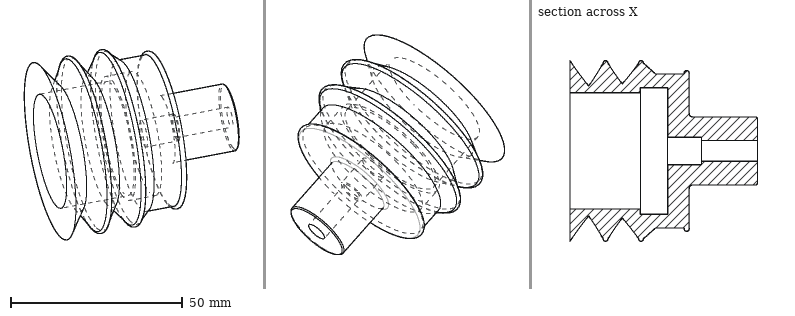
import cadquery as cq
import math


total_length = 54.85
rim_back = 34.9
rim_height = 1.55
body_front = 25.0
first_valley = 5.5
second_valley = 15.3
front_fold = 10.4
rear_fold = 20.8

outer_radius = 26.45
stem_radius = 10.0
body_radius = 45.15 / 2
rim_radius = 23.55
first_valley_radius = 19.05
second_valley_radius = 19.65
bore_radius = 33.95 / 2
undercut_radius = 37.0 / 2
entry_radius = 8.0 / 2
passage_radius = 6.0 / 2

fold_rounding = 0.7
stem_chamfer = 0.4
stem_fillet = 1.0
diagonal = math.sqrt(0.5)

bore_depth = 20.6
undercut_depth = 28.55
entry_depth = 38.4


def rounded_fold(profile, centre, half_width):
    """Continue the profile to a fold and round over its crest."""
    root_radius = outer_radius - fold_rounding
    return profile.lineTo(root_radius, centre - half_width).threePointArc(
        (outer_radius, centre), (root_radius, centre + half_width)
    )


def make_outside():
    fillet_mid = stem_fillet * (1 - diagonal)
    profile = cq.Workplane("XY").lineTo(outer_radius, 0)
    profile = profile.lineTo(first_valley_radius, first_valley)
    profile = rounded_fold(profile, front_fold, fold_rounding)
    profile = profile.lineTo(second_valley_radius, second_valley)
    profile = rounded_fold(profile, rear_fold, fold_rounding)
    profile = (
        profile.lineTo(body_radius, body_front)
        .lineTo(body_radius, rim_back - rim_height)
        .lineTo(rim_radius - rim_height / 2, rim_back - rim_height)
        .threePointArc(
            (rim_radius, rim_back - rim_height / 2), (rim_radius - rim_height / 2, rim_back)
        )
        .lineTo(stem_radius + stem_fillet, rim_back)
        .threePointArc(
            (stem_radius + fillet_mid, rim_back + fillet_mid),
            (stem_radius, rim_back + stem_fillet),
        )
        .lineTo(stem_radius, total_length - stem_chamfer)
        .lineTo(stem_radius - stem_chamfer, total_length)
        .lineTo(0, total_length)
        .close()
    )
    return profile.revolve(360, (0, 0), (0, 1))


def make_cavity():
    return (
        cq.Workplane("XY")
        .lineTo(bore_radius, 0)
        .lineTo(bore_radius, bore_depth)
        .lineTo(undercut_radius, bore_depth)
        .lineTo(undercut_radius, undercut_depth)
        .lineTo(entry_radius, undercut_depth)
        .lineTo(entry_radius, entry_depth)
        .lineTo(passage_radius, entry_depth)
        .lineTo(passage_radius, total_length)
        .lineTo(0, total_length)
        .close()
        .revolve(360, (0, 0), (0, 1))
    )


result = make_outside().cut(make_cavity())